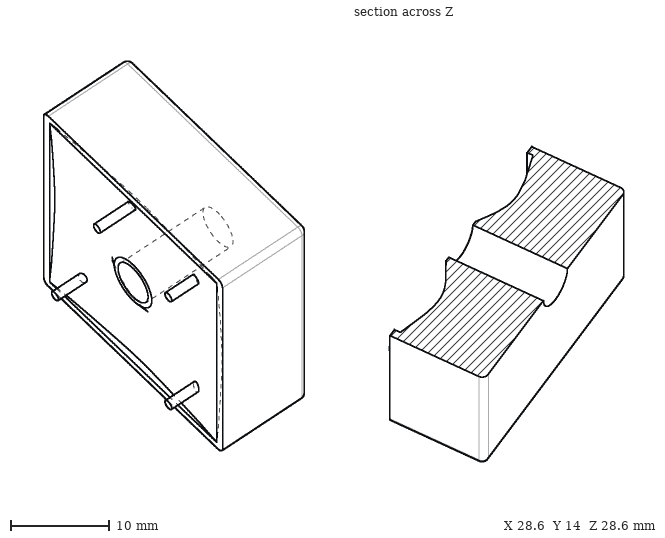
import cadquery as cq
import math

CASE_SIDE = 28.55
CASE_DEPTH = 11.2
EDGE_RADIUS = 0.7
WALL = 0.95

BORE_DIAMETER = 4.8
COLLAR_DIAMETER = 6.0

OVERALL_DEPTH = 14.03
PIN_DIAMETER = 1.1
PIN_PITCH = 18.1
OFFSET_PIN_PITCH = 11.4

COLLAR_SLOPE = (1.0, 0.6)
VALLEY_RADIUS = 7.6
VALLEY_DEPTH = 1.95
OUTER_SLOPE_RADIUS = 12.8
OUTER_SLOPE_DEPTH = 0.83

FRONT_CLEARANCE = 1.0

pocket_side = CASE_SIDE - 2 * WALL
pocket_corner_radius = pocket_side / math.sqrt(2)
outer_slope = (pocket_corner_radius - OUTER_SLOPE_RADIUS, -OUTER_SLOPE_DEPTH)
pin_length = OVERALL_DEPTH - CASE_DEPTH
half_pitch = PIN_PITCH / 2
pin_centres = [
    (half_pitch - OFFSET_PIN_PITCH, half_pitch),
    (half_pitch, half_pitch),
    (half_pitch, -half_pitch),
    (-half_pitch, -half_pitch),
]


def make_case():
    """Solid block, rounded on the edges along Y and around the closed back."""
    block = cq.Workplane("XY").box(CASE_SIDE, CASE_DEPTH, CASE_SIDE)
    block = block.translate((0, CASE_DEPTH / 2, 0))
    return block.edges("|Y or >Y").fillet(EDGE_RADIUS)


def make_dish():
    """Ring-shaped hollow above the potting, trimmed to the square inside the walls."""
    ring = (
        cq.Workplane("XY")
        .moveTo(COLLAR_DIAMETER / 2, 0)
        .spline(
            [
                (VALLEY_RADIUS, VALLEY_DEPTH),
                (OUTER_SLOPE_RADIUS, OUTER_SLOPE_DEPTH),
                (pocket_corner_radius, 0),
            ],
            tangents=[COLLAR_SLOPE, outer_slope],
            includeCurrent=True,
        )
        .vLine(-FRONT_CLEARANCE)
        .hLineTo(COLLAR_DIAMETER / 2)
        .close()
        .revolve(360, (0, 0, 0), (0, 1, 0))
    )
    pocket = cq.Workplane("XY").box(pocket_side, CASE_DEPTH, pocket_side)
    return ring.intersect(pocket)


def make_pins():
    """Pins from inside the potting out to the full depth of the part."""
    return (
        cq.Workplane("XZ", origin=(0, VALLEY_DEPTH, 0))
        .pushPoints(pin_centres)
        .circle(PIN_DIAMETER / 2)
        .extrude(VALLEY_DEPTH + pin_length)
    )


def make_bore():
    """Cylinder through the whole case along Y."""
    return cq.Workplane("XZ").circle(BORE_DIAMETER / 2).extrude(-CASE_DEPTH)


result = make_case().cut(make_dish()).union(make_pins()).cut(make_bore())